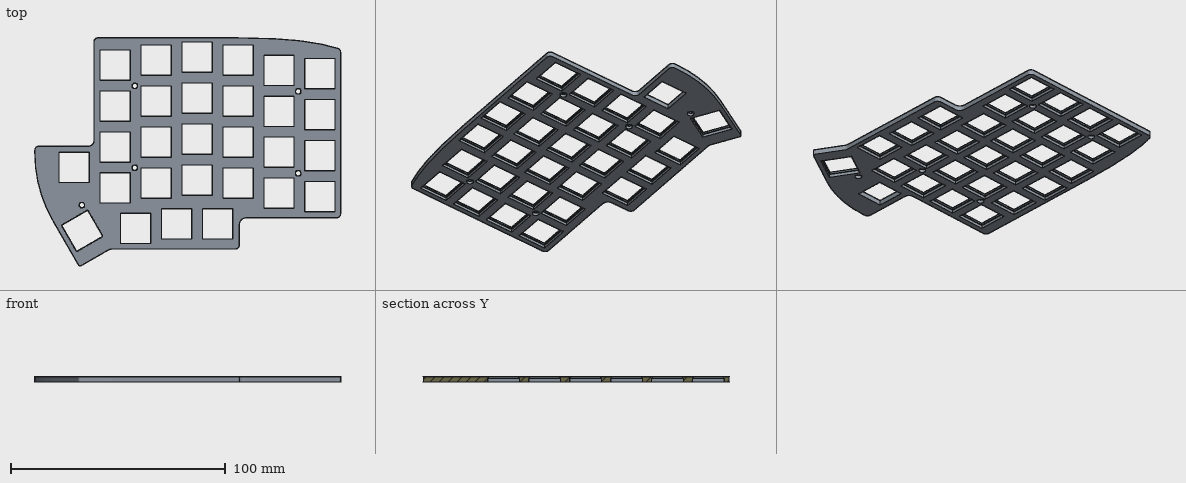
import cadquery as cq
import math

length = 142.5
width = 106.3
thickness = 2.5

main_left = 27.5
main_bottom = 22.4
thumb_top = 55.9
thumb_bottom = 7.8
thumb_right = 95.3
thumb_tilt = 30.0
tip_x = 20.8
left_arc_radius = 62.7
top_curve_start = 94.0
top_curve_drop = 5.4
top_curve_end_slope = 20.0

corner_radius = 2.0
inner_corner_radius = 2.4
step_radius = 3.1
tip_radius = 1.0
thumb_bend_radius = 4.0

tip_y = tip_radius * (1 - math.sqrt(2) * math.cos(math.radians(45 - thumb_tilt)))

key_size = 14.0
key_relief_size = 14.7
key_lip_thickness = 1.0
key_relief_height = thickness - key_lip_thickness
columns_first_x = 37.5
columns_last_x = 132.8
bottom_row_y = [36.3, 38.6, 40.0, 38.6, 33.9, 32.4]
rows = 4
key_pitch = (columns_last_x - columns_first_x) / (len(bottom_row_y) - 1)
thumb_row_x = columns_first_x + key_pitch / 2
inner_thumb_keys_y = [17.5, 19.7, 19.7]
plain_thumb_key = (18.4, 45.9)
tilted_thumb_key = (22.1, 16.4)

hole_diameter = 2.4
counterbore_diameter = 3.1
counterbore_depth = 1.5
hole_left_x = 46.6
hole_right_x = 122.7
hole_left_y = 45.7
hole_right_y = 43.2
thumb_hole = (22.0, 28.4)


def make_plate():
    tilt = math.radians(thumb_tilt)

    arc_end_x = left_arc_radius * (1 - math.cos(tilt))
    arc_end_y = tip_y + (tip_x - arc_end_x) / math.tan(tilt)
    arc_start_y = arc_end_y + left_arc_radius * math.sin(tilt)
    arc_mid = (
        left_arc_radius * (1 - math.cos(tilt / 2)),
        arc_start_y - left_arc_radius * math.sin(tilt / 2),
    )
    bend_x = tip_x + (thumb_bottom - tip_y) / math.tan(tilt)

    end_slope = math.radians(top_curve_end_slope)
    top_right_y = width - top_curve_drop
    control_x = length - top_curve_drop / math.tan(end_slope)

    plate = (
        cq.Workplane("XY")
        .moveTo(0, arc_start_y)
        .lineTo(0, thumb_top)
        .lineTo(main_left, thumb_top)
        .lineTo(main_left, width)
        .lineTo(top_curve_start, width)
        .bezier([(top_curve_start, width), (control_x, width), (length, top_right_y)])
        .lineTo(length, main_bottom)
        .lineTo(thumb_right, main_bottom)
        .lineTo(thumb_right, thumb_bottom)
        .lineTo(bend_x, thumb_bottom)
        .lineTo(tip_x, tip_y)
        .lineTo(arc_end_x, arc_end_y)
        .threePointArc(arc_mid, (0, arc_start_y))
        .close()
        .extrude(thickness)
    )

    roundings = [
        (0, thumb_top, corner_radius),
        (main_left, thumb_top, inner_corner_radius),
        (main_left, width, corner_radius),
        (length, top_right_y, corner_radius),
        (length, main_bottom, corner_radius),
        (thumb_right, main_bottom, step_radius),
        (thumb_right, thumb_bottom, corner_radius),
        (bend_x, thumb_bottom, thumb_bend_radius),
        (tip_x, tip_y, tip_radius),
    ]
    for x, y, radius in roundings:
        corner = cq.selectors.NearestToPointSelector((x, y, thickness / 2))
        plate = plate.edges("|Z").edges(corner).fillet(radius)
    return plate


def key_centres():
    """Centres of the upright cutouts that have a relief."""
    centres = []
    for column, lowest_y in enumerate(bottom_row_y):
        x = columns_first_x + column * key_pitch
        for row in range(rows):
            centres.append((x, lowest_y + row * key_pitch))
    for index, y in enumerate(inner_thumb_keys_y):
        centres.append((thumb_row_x + index * key_pitch, y))
    return centres


def hole_centres():
    centres = [thumb_hole]
    for x, y in [(hole_left_x, hole_left_y), (hole_right_x, hole_right_y)]:
        centres.append((x, y))
        centres.append((x, y + 2 * key_pitch))
    return centres


def square_cutters(centres, size, height):
    return cq.Workplane("XY").pushPoints(centres).rect(size, size).extrude(height)


def relieved_key_cutters(centres):
    openings = square_cutters(centres, key_size, thickness)
    reliefs = square_cutters(centres, key_relief_size, key_relief_height)
    return openings.union(reliefs)


def tilted_key_cutter():
    cutter = relieved_key_cutters([(0, 0)])
    return cutter.rotate((0, 0, 0), (0, 0, 1), thumb_tilt).translate((*tilted_thumb_key, 0))


def hole_cutters():
    holes = cq.Workplane("XY").pushPoints(hole_centres()).circle(hole_diameter / 2).extrude(thickness)
    counterbores = (
        cq.Workplane("XY")
        .pushPoints(hole_centres())
        .circle(counterbore_diameter / 2)
        .extrude(counterbore_depth)
    )
    return holes.union(counterbores)


result = (
    make_plate()
    .cut(relieved_key_cutters(key_centres()))
    .cut(square_cutters([plain_thumb_key], key_size, thickness))
    .cut(tilted_key_cutter())
    .cut(hole_cutters())
)